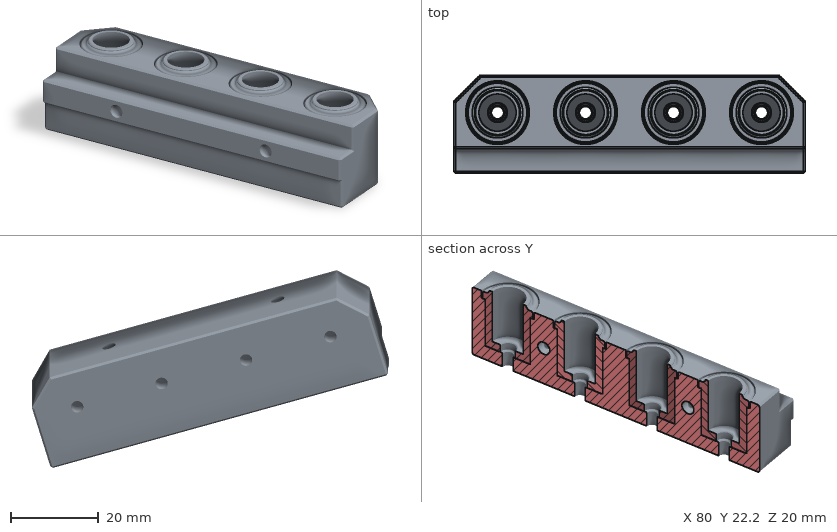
import cadquery as cq

LENGTH = 80.0
DEPTH = 22.2
HOUSING_HEIGHT = 19.0
STEP_WALL_Y = 5.5
LOWER_FACE_Y = 1.0
CORNER_CUT = 6.0
EDGE_CHAMFER = 0.5

CROSS_HOLE_DIAMETER = 3.2
CROSS_HOLE_SPACING = 40.0
CROSS_HOLE_Z = 10.0
LIP_HEIGHT = 6.0
LIP_BOTTOM_Z = CROSS_HOLE_Z - LIP_HEIGHT / 2
LIP_TOP_Z = CROSS_HOLE_Z + LIP_HEIGHT / 2

BUSHING_COUNT = 4
BUSHING_PITCH = LENGTH / BUSHING_COUNT
BUSHING_Y = 13.8
BUSHING_XS = [(i + 0.5) * BUSHING_PITCH for i in range(BUSHING_COUNT)]

FLANGE_DIAMETER = 14.0
SHANK_DIAMETER = 12.5
COLLAR_DIAMETER = 10.5
BORE_DIAMETER = 8.5
OUTLET_DIAMETER = 4.1

BUSHING_TOP_Z = 20.0
FLANGE_THICKNESS = 2.0
FLANGE_BOTTOM_Z = HOUSING_HEIGHT - FLANGE_THICKNESS
BUSHING_BOTTOM_Z = 4.0
BASE_THICKNESS = 2.0
BORE_FLOOR_Z = BUSHING_BOTTOM_Z + BASE_THICKNESS

FLANGE_CHAMFER = 0.3
COLLAR_FLARE = 0.52
COLLAR_CHAMFER = 0.2
OUTLET_CHAMFER = 0.2

RECESS_DIAMETER = 14.5
PASSAGE_DIAMETER = 2.8
PASSAGE_MOUTH_DIAMETER = 3.2
PASSAGE_CHAMFER = (PASSAGE_MOUTH_DIAMETER - PASSAGE_DIAMETER) / 2

TOLERANCE = 0.001


def revolve_at(half_section, x):
    """Solid of revolution about a vertical bushing axis, from (radius, height) points."""
    solid = cq.Workplane("XZ").polyline(half_section).close().revolve(360, (0, 0), (0, 1))
    return solid.translate((x, BUSHING_Y, 0))


def stays_sharp(edge):
    """True for the vertical edges of the cut corners and the two concave edges along the lip."""
    middle = edge.Center()
    on_cut_corner = edge.tangentAt(0).z ** 2 > 0.5 and middle.y > DEPTH - CORNER_CUT - TOLERANCE
    along_lip = any(
        abs(middle.y - y) < TOLERANCE and abs(middle.z - z) < TOLERANCE
        for y, z in [(STEP_WALL_Y, LIP_TOP_Z), (LOWER_FACE_Y, LIP_BOTTOM_Z)]
    )
    return on_cut_corner or along_lip


def make_block():
    """Stepped block with a front lip, cut back corners and chamfered outer edges."""
    section = [
        (LOWER_FACE_Y, 0),
        (LOWER_FACE_Y, LIP_BOTTOM_Z),
        (0, LIP_BOTTOM_Z),
        (0, LIP_TOP_Z),
        (STEP_WALL_Y, LIP_TOP_Z),
        (STEP_WALL_Y, HOUSING_HEIGHT),
        (DEPTH, HOUSING_HEIGHT),
        (DEPTH, 0),
    ]
    block = cq.Workplane("YZ").polyline(section).close().extrude(LENGTH)
    block = block.edges("|Z and >Y").chamfer(CORNER_CUT)
    return block.edges().filter(lambda edge: not stays_sharp(edge)).chamfer(EDGE_CHAMFER)


def make_cross_holes():
    """Two holes running the full depth of the housing along Y."""
    offset = CROSS_HOLE_SPACING / 2
    return (
        cq.Workplane("XZ", origin=(LENGTH / 2, 0, CROSS_HOLE_Z))
        .pushPoints([(-offset, 0), (offset, 0)])
        .circle(CROSS_HOLE_DIAMETER / 2)
        .extrude(-DEPTH)
    )


def make_seat(x):
    """Space for one bushing, with the countersunk passage below it."""
    recess_radius = RECESS_DIAMETER / 2
    shank_radius = SHANK_DIAMETER / 2
    mouth_radius = PASSAGE_MOUTH_DIAMETER / 2
    passage_radius = PASSAGE_DIAMETER / 2
    half_section = [
        (0, 0),
        (passage_radius, 0),
        (passage_radius, BUSHING_BOTTOM_Z - PASSAGE_CHAMFER),
        (mouth_radius, BUSHING_BOTTOM_Z),
        (shank_radius, BUSHING_BOTTOM_Z),
        (shank_radius, FLANGE_BOTTOM_Z),
        (recess_radius, FLANGE_BOTTOM_Z),
        (recess_radius, HOUSING_HEIGHT),
        (0, HOUSING_HEIGHT),
    ]
    return revolve_at(half_section, x)


def make_housing():
    """Block with its cross holes and one seat per bushing."""
    housing = make_block().cut(make_cross_holes())
    for x in BUSHING_XS:
        housing = housing.cut(make_seat(x))
    return housing


def make_bushing(x):
    """Flanged bushing whose flared collar stands above the housing."""
    flange_radius = FLANGE_DIAMETER / 2
    shank_radius = SHANK_DIAMETER / 2
    collar_radius = COLLAR_DIAMETER / 2
    bore_radius = BORE_DIAMETER / 2
    outlet_radius = OUTLET_DIAMETER / 2
    half_section = [
        (outlet_radius, BUSHING_BOTTOM_Z),
        (shank_radius, BUSHING_BOTTOM_Z),
        (shank_radius, FLANGE_BOTTOM_Z),
        (flange_radius, FLANGE_BOTTOM_Z),
        (flange_radius, HOUSING_HEIGHT - FLANGE_CHAMFER),
        (flange_radius - FLANGE_CHAMFER, HOUSING_HEIGHT),
        (collar_radius + COLLAR_FLARE, HOUSING_HEIGHT),
        (collar_radius, HOUSING_HEIGHT + COLLAR_FLARE),
        (collar_radius, BUSHING_TOP_Z - COLLAR_CHAMFER),
        (collar_radius - COLLAR_CHAMFER, BUSHING_TOP_Z),
        (bore_radius, BUSHING_TOP_Z),
        (bore_radius, BORE_FLOOR_Z),
        (outlet_radius + OUTLET_CHAMFER, BORE_FLOOR_Z),
        (outlet_radius, BORE_FLOOR_Z - OUTLET_CHAMFER),
    ]
    return revolve_at(half_section, x)


housing = make_housing()
bushings = [make_bushing(x) for x in BUSHING_XS]

result = cq.Compound.makeCompound([housing.val(), *[bushing.val() for bushing in bushings]])